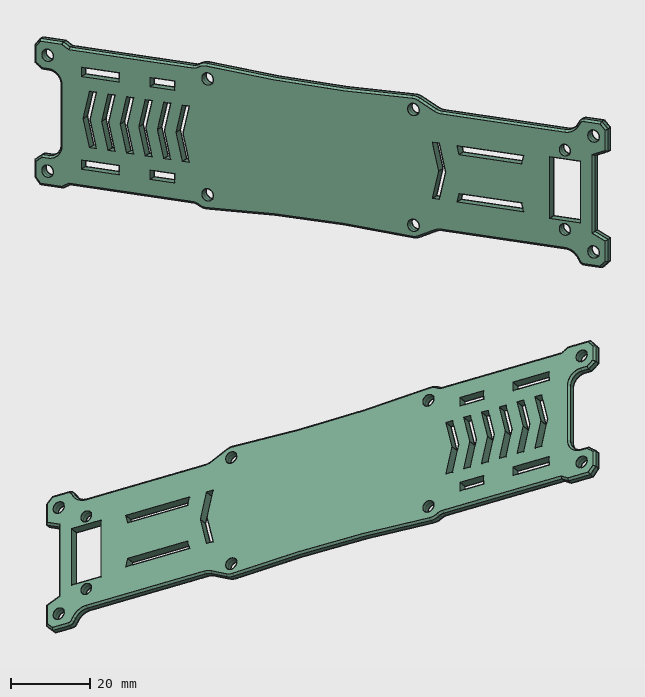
import cadquery as cq

length = 161.2
height = 38.7
thickness = 2.5
edge_chamfer = 0.56

half_length = length / 2
half_height = height / 2

left_edge_z = 18.2
waist_z = 18.0
waist_x = -0.8
bump_z = 19.3
shoulder_z = 18.9
neck_z = 15.8

left_recess_x = -73.2
left_recess_z = 11.3
left_recess_radius = 3.4
left_recess_corner = 3.2
left_ear_cut_x = 2.1
left_ear_cut_z = 1.6
left_ear_top_cut_x = 1.6
left_ear_top_cut_z = 2.0
left_ear_end_x = -72.5
left_ear_foot_x = -70.6

right_recess_x = 76.9
right_recess_z = 10.0
right_ear_bottom_z = 11.6
right_ear_top_cut = 1.8

bump_foot_x = -35.3
bump_x = -33.2
shoulder_x = 26.8
neck_x = 33.0
right_ear_foot_x = 71.0
right_ear_top_x = 73.0
bump_foot_radius = 2.4
right_ear_top_radius = 1.6
boss_radius = 4.0

hole_diameter = 3.2
servo_hole_diameter = 3.0
hole_z = 15.3
hole_xs = (-76.7, -31.8, 26.1, 76.7)
servo_x = 68.7
servo_hole_z = 10.5

window_width = 8.7
window_height = 16.3

strap_slots = ((-61.9, 10.6), (-44.5, 7.0))
strap_slot_height = 2.4
strap_slot_z = 12.3

vent_half_height = 7.4
vent_width = 2.0
vent_sweep = 1.8
vent_count = 6
first_vent_tip_x = -66.7
last_vent_tip_x = -40.6
right_vent_tip_x = 35.1

tapered_slot_x = 47.7
tapered_slot_long = 18.7
tapered_slot_short = 17.5
tapered_slot_outer_z = vent_half_height
tapered_slot_inner_z = 5.2


def round_corner(body, x, z, radius):
    """Round the matching upper and lower outline corners at (x, +z) and (x, -z)."""
    for side in (1, -1):
        corner_edge = cq.selectors.NearestToPointSelector((x, 0, side * z))
        body = body.edges(corner_edge).fillet(radius)
    return body


def plate():
    """Chamfered plate, mirrored about the XY plane."""
    rounded_corners = (
        (bump_foot_x, left_edge_z, bump_foot_radius),
        (bump_x, bump_z, boss_radius),
        (shoulder_x, shoulder_z, boss_radius),
        (neck_x, neck_z, boss_radius),
        (right_ear_foot_x, neck_z, boss_radius),
        (right_ear_top_x, half_height, right_ear_top_radius),
    )
    upper_half = (
        cq.Workplane("XZ")
        .moveTo(left_recess_x, 0)
        .lineTo(left_recess_x, left_recess_z - left_recess_corner)
        .radiusArc((left_recess_x - left_recess_corner, left_recess_z), -left_recess_radius)
        .lineTo(-half_length + left_ear_cut_x, left_recess_z)
        .lineTo(-half_length, left_recess_z + left_ear_cut_z)
        .lineTo(-half_length, half_height - left_ear_top_cut_z)
        .lineTo(-half_length + left_ear_top_cut_x, half_height)
        .lineTo(left_ear_end_x, half_height)
        .lineTo(left_ear_foot_x, left_edge_z)
        .lineTo(bump_foot_x, left_edge_z)
        .lineTo(bump_x, bump_z)
        .threePointArc((waist_x, waist_z), (shoulder_x, shoulder_z))
        .lineTo(neck_x, neck_z)
        .lineTo(right_ear_foot_x, neck_z)
        .lineTo(right_ear_top_x, half_height)
        .lineTo(half_length - right_ear_top_cut, half_height)
        .lineTo(half_length, half_height - right_ear_top_cut)
        .lineTo(half_length, right_ear_bottom_z)
        .lineTo(right_recess_x, right_recess_z)
        .lineTo(right_recess_x, 0)
        .close()
        .extrude(thickness / 2, both=True)
    )
    whole = upper_half.union(upper_half.mirror("XY")).clean()
    for x, z, radius in rounded_corners:
        whole = round_corner(whole, x, z, radius)
    return whole.faces("|Y").edges().chamfer(edge_chamfer)


def through(sketch):
    """Extrude a closed profile far enough to cut the full thickness."""
    return sketch.extrude(thickness, both=True)


def holes():
    corner_points = [(x, side * hole_z) for x in hole_xs for side in (1, -1)]
    servo_points = [(servo_x, side * servo_hole_z) for side in (1, -1)]
    corner = through(cq.Workplane("XZ").pushPoints(corner_points).circle(hole_diameter / 2))
    servo = through(cq.Workplane("XZ").pushPoints(servo_points).circle(servo_hole_diameter / 2))
    return corner.union(servo)


def window():
    return through(cq.Workplane("XZ").center(servo_x, 0).rect(window_width, window_height))


def strap_slot(center_x, slot_length, side):
    sketch = cq.Workplane("XZ").center(center_x, side * strap_slot_z)
    return through(sketch.rect(slot_length, strap_slot_height))


def vent(tip_x, direction):
    """Chevron with its tip at tip_x, pointing along +X (1) or -X (-1)."""
    points = [
        (tip_x, 0),
        (tip_x - direction * vent_sweep, vent_half_height),
        (tip_x - direction * (vent_sweep + vent_width), vent_half_height),
        (tip_x - direction * vent_width, 0),
        (tip_x - direction * (vent_sweep + vent_width), -vent_half_height),
        (tip_x - direction * vent_sweep, -vent_half_height),
    ]
    return through(cq.Workplane("XZ").polyline(points).close())


def tapered_slot(side):
    points = [
        (tapered_slot_x - tapered_slot_long / 2, side * tapered_slot_outer_z),
        (tapered_slot_x + tapered_slot_long / 2, side * tapered_slot_outer_z),
        (tapered_slot_x + tapered_slot_short / 2, side * tapered_slot_inner_z),
        (tapered_slot_x - tapered_slot_short / 2, side * tapered_slot_inner_z),
    ]
    return through(cq.Workplane("XZ").polyline(points).close())


result = plate().cut(holes()).cut(window())

for side in (1, -1):
    result = result.cut(tapered_slot(side))
    for center_x, slot_length in strap_slots:
        result = result.cut(strap_slot(center_x, slot_length, side))

vent_pitch = (last_vent_tip_x - first_vent_tip_x) / (vent_count - 1)
for index in range(vent_count):
    result = result.cut(vent(first_vent_tip_x + index * vent_pitch, -1))
result = result.cut(vent(right_vent_tip_x, 1))